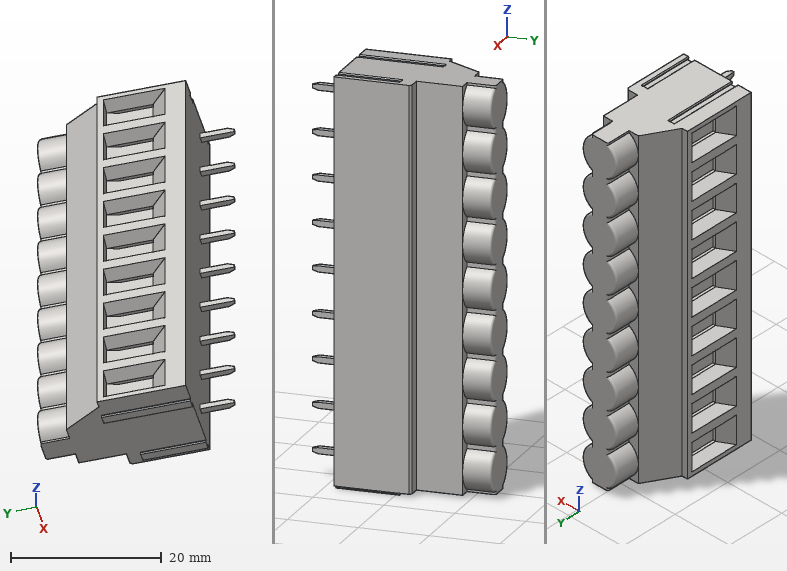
import cadquery as cq

pole_count = 9
pitch = 6.35
row_length = pole_count * pitch

housing_width = 12.5
housing_top = 21.5
entry_face_height = 12.2
entry_ledge = 1.0
shoulder_height = 17.45
rear_step_height = 10.9
rear_chamfer = 0.3

barrel_radius = 3.25
barrel_x = 7.2
barrel_rounding = 0.35
web_width = 3.05
tower_rear_x = barrel_x + barrel_radius
shoulder_x = barrel_x - barrel_radius

mouth_bottom = 2.85
mouth_top = 11.3
mouth_span = 4.85
funnel_depth = 1.8
funnel_inset_z = 0.75
funnel_inset_y = 2.15
chamber_extra_depth = 0.45
back_slope_height = 1.55

pin_side = 0.85
pin_x = 7.85
pin_length = 4.6
pin_tip_length = 0.85
pin_tip_side = 0.45

dovetails = [(3.0, entry_face_height), (11.05, 8.95)]
dovetail_depth = 0.6
dovetail_neck = 0.85
dovetail_wide = 1.45
lip_width = 1.15
lip_depth = 0.2

pole_heights = [(i + 0.5) * pitch for i in range(pole_count)]


def make_housing():
    """Constant XY profile of the housing below the barrels."""
    return (
        cq.Workplane("XY")
        .polyline([
            (0, 0),
            (housing_width, 0),
            (housing_width, rear_step_height - rear_chamfer),
            (housing_width - rear_chamfer, rear_step_height),
            (tower_rear_x, rear_step_height),
            (tower_rear_x, shoulder_height),
            (shoulder_x, shoulder_height),
            (entry_ledge, entry_face_height),
            (0, entry_face_height),
        ])
        .close()
        .extrude(row_length)
    )


def make_barrel_row():
    """Round-topped barrels and their web, trimmed flush with the end faces."""
    height = housing_top - shoulder_height
    row = (
        cq.Workplane("XY")
        .box(web_width, height, row_length, centered=(True, False, False))
        .translate((barrel_x, shoulder_height, 0))
        .edges("|Z and >Y")
        .fillet(barrel_rounding)
    )
    barrel = (
        cq.Workplane("XZ")
        .circle(barrel_radius)
        .extrude(-height)
        .faces(">Y")
        .edges()
        .fillet(barrel_rounding)
    )
    for z in pole_heights:
        row = row.union(barrel.translate((barrel_x, shoulder_height, z)))
    trim = cq.Workplane("XY").box(housing_width, housing_top, row_length, centered=False)
    return row.intersect(trim)


def make_pocket():
    """Cutter for one wire entry, centred on Z = 0."""
    mouth_height = mouth_top - mouth_bottom
    chamber_height = mouth_height - funnel_inset_y
    chamber_span = mouth_span - 2 * funnel_inset_z
    funnel = (
        cq.Workplane("YZ")
        .center(mouth_top - mouth_height / 2, 0)
        .rect(mouth_height, mouth_span)
        .workplane(offset=funnel_depth)
        .center(funnel_inset_y / 2, 0)
        .rect(chamber_height, chamber_span)
        .loft(ruled=True)
    )
    back_x = funnel_depth + chamber_extra_depth
    chamber_bottom = mouth_bottom + funnel_inset_y
    chamber = (
        cq.Workplane("XY")
        .polyline([
            (funnel_depth, chamber_bottom),
            (back_x, chamber_bottom),
            (back_x, mouth_top - back_slope_height),
            (funnel_depth, mouth_top),
        ])
        .close()
        .extrude(chamber_span / 2, both=True)
    )
    return funnel.union(chamber)


def make_pin():
    """Square solder pin with a tapered tip, pointing down -Y, centred on Z = 0."""
    shank_length = pin_length - pin_tip_length
    return (
        cq.Workplane("XZ")
        .rect(pin_side, pin_side)
        .extrude(shank_length)
        .faces("<Y")
        .workplane()
        .rect(pin_side, pin_side)
        .workplane(offset=pin_tip_length)
        .rect(pin_tip_side, pin_tip_side)
        .loft(combine=True, ruled=True)
        .translate((pin_x, 0, 0))
    )


def make_dovetail(center_x, length, sections):
    """Symmetric bar along +Y hanging below Z = 0, given as (depth, width) sections."""
    left_side = [(-width / 2, -depth) for depth, width in sections]
    right_side = [(width / 2, -depth) for depth, width in reversed(sections)]
    return (
        cq.Workplane("XZ", origin=(center_x, 0, 0))
        .polyline(left_side + right_side)
        .close()
        .extrude(-length)
    )


body = make_housing().union(make_barrel_row())

pocket = make_pocket()
pin = make_pin()
for z in pole_heights:
    body = body.cut(pocket.translate((0, 0, z)))
    body = body.union(pin.translate((0, 0, z)))

rib_sections = [
    (0, dovetail_neck),
    (dovetail_depth - lip_depth, dovetail_wide),
    (dovetail_depth, lip_width),
]
for center_x, length in dovetails:
    body = body.union(make_dovetail(center_x, length, rib_sections))

groove_sections = [
    (0, lip_width),
    (lip_depth, dovetail_neck),
    (dovetail_depth, dovetail_wide),
]
for center_x, length in dovetails:
    groove = make_dovetail(center_x, length, groove_sections)
    body = body.cut(groove.translate((0, 0, row_length)))

result = body